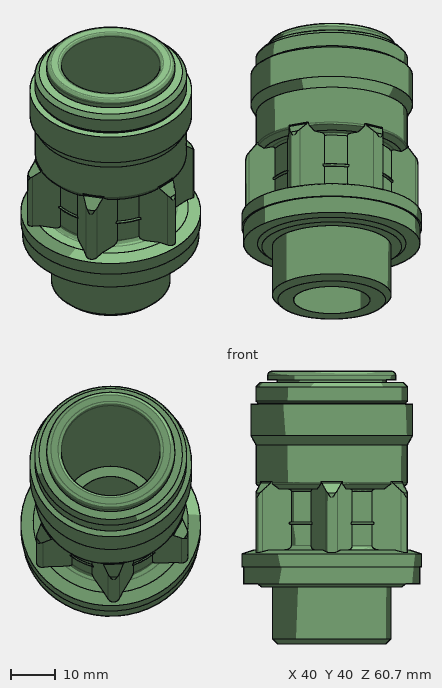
import cadquery as cq
import math

flange_r = 40.0 / 2
lower_flange_r = 39.3 / 2
spigot_r = 26.45 / 2
spigot_tip_r = 24.0 / 2
seat_top_r = 33.0 / 2
seat_bottom_r = 15.55
core_r = 13.8
barrel_end_r = 15.6
barrel_cone_r = 16.65
barrel_r = 16.8
band_r = 36.0 / 2
collar_r = 33.8 / 2
collar_neck_r = 16.4
rim_r = 28.5 / 2
rim_neck_r = 12.15
bore_r = 17 / 2
socket_r = 22.0 / 2

total_height = 60.7
spigot_chamfer_z = 1.2
seat_bottom_z = 12.7
lower_flange_bottom_z = 13.4
flange_bottom_z = 17.2
flange_edge_z = 20.1
flange_top_z = 21.0
bead_z = 26.9
socket_floor_z = 26.7
barrel_end_z = 34.5
barrel_cone_z = 35.5
barrel_bottom_z = 35.95
barrel_top_z = 44.25
band_bottom_z = 46.4
band_top_z = 53.35
collar_bottom_z = 53.6
collar_top_z = 58.2
rim_bottom_z = 58.75

flange_flat_r = 17.25
root_fillet = 1.0
neck_fillet = 0.5
bead_section_r = 0.3
collar_bottom_chamfer = 0.5
collar_top_chamfer = 1.0
rim_outer_fillet = 1.0
rim_inner_fillet = 0.7

rib_count = 6
rib_first_angle = 30
rib_flank_angle = 31
rib_tip_r = 19.25
rib_nose_r = 1.45
rib_root_r = 12.15
rib_top_z = 36.2
rib_shoulder_r = 16.95
rib_shoulder_z = 35.9
rib_bend_r = 19.0
rib_bend_z = 33.6
rib_tip_z = 32.65


def arc_mid(center_r, center_z, radius, angle):
    """Point on a profile arc, angle in degrees from the outward direction."""
    turn = math.radians(angle)
    return (center_r + radius * math.cos(turn), center_z + radius * math.sin(turn))


def turned_body():
    """Solid of revolution with the stepped bore; the profile is (radius, height)."""
    root_r = core_r + root_fillet
    root_z = flange_top_z + root_fillet
    neck_r = core_r + neck_fillet
    neck_z = barrel_end_z - neck_fillet
    rim_outer_z = total_height - rim_outer_fillet
    rim_inner_z = total_height - rim_inner_fillet
    rim_outer_flat_r = rim_r - rim_outer_fillet
    rim_inner_flat_r = socket_r + rim_inner_fillet
    profile = (
        cq.Workplane("XZ")
        .moveTo(bore_r, 0)
        .lineTo(spigot_tip_r, 0)
        .lineTo(spigot_r, spigot_chamfer_z)
        .lineTo(spigot_r, seat_bottom_z)
        .lineTo(seat_bottom_r, seat_bottom_z)
        .lineTo(seat_top_r, lower_flange_bottom_z)
        .lineTo(lower_flange_r, lower_flange_bottom_z)
        .lineTo(lower_flange_r, flange_bottom_z)
        .lineTo(flange_r, flange_bottom_z)
        .lineTo(flange_r, flange_edge_z)
        .lineTo(flange_flat_r, flange_top_z)
        .lineTo(root_r, flange_top_z)
        .threePointArc(arc_mid(root_r, root_z, root_fillet, 225), (core_r, root_z))
        .lineTo(core_r, bead_z - bead_section_r)
        .threePointArc((core_r + bead_section_r, bead_z), (core_r, bead_z + bead_section_r))
        .lineTo(core_r, neck_z)
        .threePointArc(arc_mid(neck_r, neck_z, neck_fillet, 135), (neck_r, barrel_end_z))
        .lineTo(barrel_end_r, barrel_end_z)
        .lineTo(barrel_cone_r, barrel_cone_z)
        .tangentArcPoint((barrel_r, barrel_bottom_z), relative=False)
        .lineTo(barrel_r, barrel_top_z)
        .lineTo(band_r, band_bottom_z)
        .lineTo(band_r, band_top_z)
        .lineTo(collar_neck_r, band_top_z)
        .lineTo(collar_neck_r, collar_bottom_z)
        .lineTo(collar_r, collar_bottom_z + collar_bottom_chamfer)
        .lineTo(collar_r, collar_top_z - collar_top_chamfer)
        .lineTo(collar_r - collar_top_chamfer, collar_top_z)
        .lineTo(rim_neck_r, collar_top_z)
        .lineTo(rim_neck_r, rim_bottom_z)
        .lineTo(rim_r, rim_bottom_z)
        .lineTo(rim_r, rim_outer_z)
        .threePointArc(
            arc_mid(rim_outer_flat_r, rim_outer_z, rim_outer_fillet, 45),
            (rim_outer_flat_r, total_height),
        )
        .lineTo(rim_inner_flat_r, total_height)
        .threePointArc(
            arc_mid(rim_inner_flat_r, rim_inner_z, rim_inner_fillet, 135),
            (socket_r, rim_inner_z),
        )
        .lineTo(socket_r, socket_floor_z)
        .lineTo(bore_r, socket_floor_z)
        .close()
    )
    return profile.revolve(360, (0, 0, 0), (0, 1, 0))


def rib():
    """Rib along +X: flanks converge outward to a round nose, top sloped and steeper at the tip."""
    flank = math.radians(rib_flank_angle)
    nose_center = rib_tip_r - rib_nose_r
    tangent_r = nose_center + rib_nose_r * math.sin(flank)
    tangent_y = rib_nose_r * math.cos(flank)
    root_y = tangent_y + (tangent_r - rib_root_r) * math.tan(flank)
    plan = (
        cq.Workplane("XY", origin=(0, 0, flange_edge_z))
        .moveTo(rib_root_r, -root_y)
        .lineTo(tangent_r, -tangent_y)
        .threePointArc((rib_tip_r, 0), (tangent_r, tangent_y))
        .lineTo(rib_root_r, root_y)
        .close()
        .extrude(rib_top_z - flange_edge_z)
    )
    side = (
        cq.Workplane("XZ")
        .moveTo(rib_root_r, flange_edge_z)
        .lineTo(rib_tip_r, flange_edge_z)
        .lineTo(rib_tip_r, rib_tip_z)
        .lineTo(rib_bend_r, rib_bend_z)
        .lineTo(rib_shoulder_r, rib_shoulder_z)
        .lineTo(rib_shoulder_r, rib_top_z)
        .lineTo(rib_root_r, rib_top_z)
        .close()
        .extrude(root_y, both=True)
    )
    return plan.intersect(side)


result = turned_body()
single_rib = rib()
for index in range(rib_count):
    angle = rib_first_angle + index * 360 / rib_count
    result = result.union(single_rib.rotate((0, 0, 0), (0, 0, 1), angle))